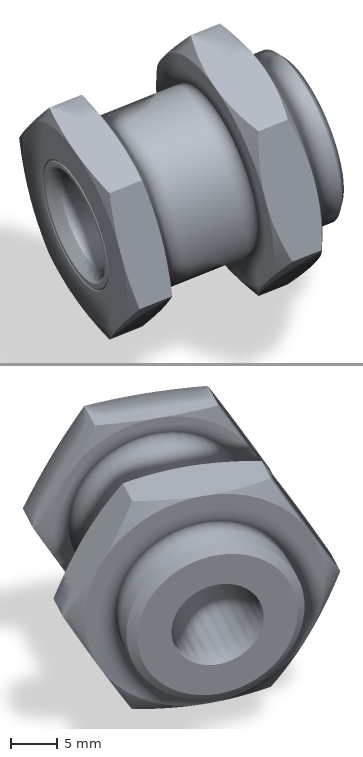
import cadquery as cq
import math

total_length = 28.0
shank_radius = 10.0
head_across_flats = 24.0
head_thickness = 5.0
head_chamfer_angle = 15.0
end_chamfer_length = 0.8
end_chamfer_depth = 1.0

bore_front_radius = 5.58
bore_back_radius = 5.18
countersink_radius = 6.8
countersink_depth = countersink_radius - bore_front_radius

groove_radius = 7.48
groove_half_width = 0.15
groove_depth = groove_half_width

nut_corner_diameter = 31.18
nut_across_flats = nut_corner_diameter * math.cos(math.pi / 6)
nut_thickness = 6.0
nut_setback = 5.0
nut_chamfer_angle = 30.0

front_y = -total_length / 2
back_y = total_length / 2
nut_front_y = back_y - nut_setback - nut_thickness


def revolve_about_y(points):
    """Solid of revolution about Y from a closed (radius, y) outline."""
    return cq.Workplane("XY").polyline(points).close().revolve(360, (0, 0, 0), (0, 1, 0))


def chamfered_hexagon(across_flats, start_y, thickness, chamfer_angle):
    """Hexagonal prism along Y, corners on X, coned at both ends down to the inscribed circle."""
    flat_radius = across_flats / 2
    corner_radius = flat_radius / math.cos(math.pi / 6)
    chamfer_length = (corner_radius - flat_radius) * math.tan(math.radians(chamfer_angle))
    end_y = start_y + thickness
    prism = (
        cq.Workplane("XZ", origin=(0, start_y, 0))
        .polygon(6, 2 * corner_radius)
        .extrude(-thickness)
    )
    envelope = revolve_about_y([
        (0, start_y),
        (flat_radius, start_y),
        (corner_radius, start_y + chamfer_length),
        (corner_radius, end_y - chamfer_length),
        (flat_radius, end_y),
        (0, end_y),
    ])
    return prism.intersect(envelope)


def make_shank():
    return revolve_about_y([
        (0, front_y),
        (shank_radius, front_y),
        (shank_radius, back_y - end_chamfer_length),
        (shank_radius - end_chamfer_depth, back_y),
        (0, back_y),
    ])


def make_bore():
    return revolve_about_y([
        (0, front_y),
        (countersink_radius, front_y),
        (bore_front_radius, front_y + countersink_depth),
        (bore_back_radius, back_y),
        (0, back_y),
    ])


def make_face_groove():
    return revolve_about_y([
        (groove_radius - groove_half_width, front_y),
        (groove_radius + groove_half_width, front_y),
        (groove_radius, front_y + groove_depth),
    ])


def make_fitting():
    head = chamfered_hexagon(head_across_flats, front_y, head_thickness, head_chamfer_angle)
    return head.union(make_shank()).cut(make_bore()).cut(make_face_groove())


def make_lock_nut():
    nut = chamfered_hexagon(nut_across_flats, nut_front_y, nut_thickness, nut_chamfer_angle)
    shank_hole = (
        cq.Workplane("XZ", origin=(0, nut_front_y, 0))
        .circle(shank_radius)
        .extrude(-nut_thickness)
    )
    return nut.cut(shank_hole)


fitting = make_fitting()
lock_nut = make_lock_nut()

result = cq.Compound.makeCompound([fitting.val(), lock_nut.val()])